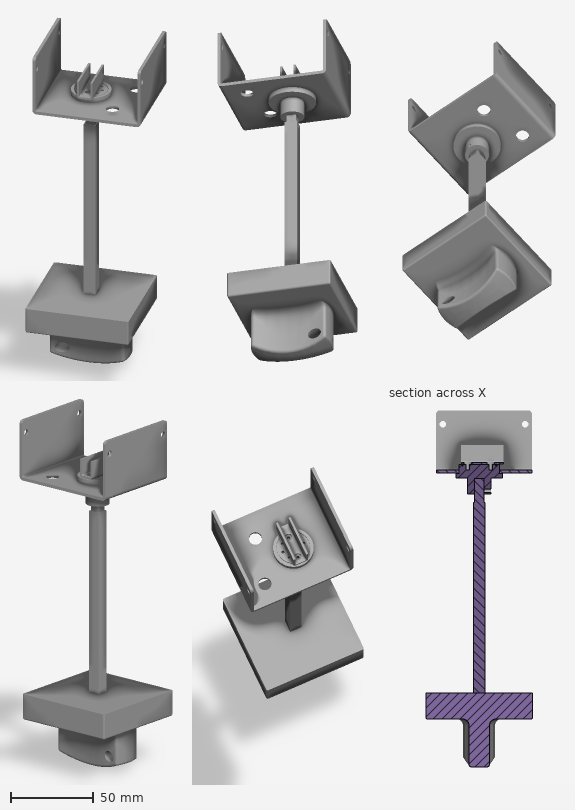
import cadquery as cq

PLATE_BOTTOM = 29.2
PLATE_TOP = 45.5
SHAFT_SHOULDER = 160.9
HUB_BOTTOM = 165.6
FLANGE_BOTTOM = 175.4
BRACKET_BOTTOM = 178.6
COLLAR_TOP = 183.8
CLIP_TOP = 195.5
BRACKET_TOP = 216.5

PLATE_SIDE = 65.0
PLATE_EDGE_RADIUS = 1.0
KNOB_RADIUS = 25.1
KNOB_RIM_HEIGHT = 5.8
WAIST_HALF_WIDTH = 6.3
GRIP_END_HALF_WIDTH = 10.2
GRIP_END_X = 23.0
GRIP_CORNER_RADIUS = 1.7
KNOB_RIM_RADIUS = 1.5
GRIP_ROOT_RADIUS = 4.0
KNOB_HOLE_X = -16.0
KNOB_HOLE_Z = 9.7
KNOB_HOLE_WIDTH = 8.7
KNOB_HOLE_HEIGHT = 6.5

SHAFT_SIDE = 7.5
NECK_SIDE = 5.8

HUB_RADIUS = 14.5 / 2
FLANGE_RADIUS = 28.8 / 2
COLLAR_RADIUS = 12.3
GROOVE_OUTER_RADIUS = 10.5
GROOVE_INNER_RADIUS = 10.0
GROOVE_DEPTH = 0.6
SCREW_CIRCLE_RADIUS = 7.0
SCREW_HOLE_COUNT = 8
SCREW_HOLE_DIAMETER = 2.0
SCREW_HOLE_DEPTH = 3.2
SET_SCREW_DIAMETER = 2.0
SET_SCREW_Z = 167.8

BRACKET_LEFT = -28.1
BRACKET_WIDTH = 68.2
BRACKET_FRONT = -32.0
BRACKET_DEPTH = 58.0
BRACKET_THICKNESS = 2.0
BRACKET_INNER_BEND = 0.6
FLANGE_CORNER_RADIUS = 2.2
MOUNT_HOLE_DIAMETER = 4.0
MOUNT_HOLE_SPACING = 50.0
MOUNT_HOLE_DROP = 8.5
BASE_HOLE_DIAMETER = 8.0
BASE_HOLE_CENTRES = [(25.0, 13.0), (18.0, -16.0)]

CLIP_WIDTH = 9.7
CLIP_FRONT = -15.0
CLIP_LENGTH = 26.0
CLIP_THICKNESS = 1.3
CLIP_INNER_BEND = 0.6
CLIP_HOLE_DIAMETER = 4.3

PICK_MARGIN = 0.2


def arc_radius(half_chord, rise):
    """Radius of the arc that rises by this much over this half chord."""
    return (half_chord**2 + rise**2) / (2 * rise)


DOME_RADIUS = arc_radius(KNOB_RADIUS, KNOB_RIM_HEIGHT)
HOLLOW_RADIUS = arc_radius(GRIP_END_X, GRIP_END_HALF_WIDTH - WAIST_HALF_WIDTH)


def cylinder(radius, bottom, top):
    """Upright cylinder on the shaft axis."""
    return cq.Workplane("XY").workplane(offset=bottom).circle(radius).extrude(top - bottom)


def square_bar(side, bottom, top):
    """Upright square bar on the shaft axis."""
    return cq.Workplane("XY").workplane(offset=bottom).rect(side, side).extrude(top - bottom)


def bent_channel(left, width, front, depth, bottom, top, thickness, inner_bend):
    """U-shaped sheet: a base with a wall bent up along each X side."""
    outer = (
        cq.Workplane("XY")
        .box(width, depth, top - bottom, centered=False)
        .edges("|Y and <Z")
        .fillet(inner_bend + thickness)
    )
    inner = (
        cq.Workplane("XY")
        .box(width - 2 * thickness, depth, top - bottom, centered=False)
        .edges("|Y and <Z")
        .fillet(inner_bend)
        .translate((thickness, 0, thickness))
    )
    return outer.cut(inner).translate((left, front, bottom))


def dished_grip():
    """Round knob with a domed bottom, pinched to a waist by a hollow on either side."""
    blank = (
        cq.Workplane("YZ")
        .moveTo(0, PLATE_BOTTOM)
        .lineTo(KNOB_RADIUS, PLATE_BOTTOM)
        .lineTo(KNOB_RADIUS, KNOB_RIM_HEIGHT)
        .radiusArc((0, 0), DOME_RADIUS)
        .close()
        .revolve(360, (0, 0), (0, 1))
    )
    for side in (-1, 1):
        hollow = cylinder(HOLLOW_RADIUS, 0, PLATE_BOTTOM)
        blank = blank.cut(hollow.translate((0, side * (WAIST_HALF_WIDTH + HOLLOW_RADIUS), 0)))
    grip = blank.edges("|Z").fillet(GRIP_CORNER_RADIUS)
    return grip.faces("<Z").edges().fillet(KNOB_RIM_RADIUS)


def make_knob():
    plate = square_bar(PLATE_SIDE, PLATE_BOTTOM, PLATE_TOP).edges("|Z or <Z").fillet(PLATE_EDGE_RADIUS)
    hollow_roots = cq.selectors.BoxSelector(
        (-2.2, -GRIP_END_HALF_WIDTH, PLATE_BOTTOM - PICK_MARGIN),
        (2.2, GRIP_END_HALF_WIDTH, PLATE_BOTTOM + PICK_MARGIN),
    )
    hole = (
        cq.Workplane("XZ")
        .center(KNOB_HOLE_X, KNOB_HOLE_Z)
        .ellipse(KNOB_HOLE_WIDTH / 2, KNOB_HOLE_HEIGHT / 2)
        .extrude(KNOB_RADIUS, both=True)
    )
    knob = plate.union(dished_grip()).edges(hollow_roots).fillet(GRIP_ROOT_RADIUS)
    limits = plate.union(cylinder(KNOB_RADIUS, 0, PLATE_BOTTOM))
    return knob.intersect(limits).cut(hole)


def make_shaft():
    shaft = square_bar(SHAFT_SIDE, PLATE_TOP, SHAFT_SHOULDER)
    return shaft.union(square_bar(NECK_SIDE, SHAFT_SHOULDER, FLANGE_BOTTOM))


def make_hub():
    hub = cylinder(HUB_RADIUS, HUB_BOTTOM, FLANGE_BOTTOM)
    hub = hub.union(cylinder(FLANGE_RADIUS, FLANGE_BOTTOM, BRACKET_BOTTOM))
    hub = hub.union(cylinder(COLLAR_RADIUS, BRACKET_BOTTOM, COLLAR_TOP))
    groove = (
        cq.Workplane("XY")
        .workplane(offset=COLLAR_TOP)
        .circle(GROOVE_OUTER_RADIUS)
        .circle(GROOVE_INNER_RADIUS)
        .extrude(-GROOVE_DEPTH)
    )
    screw_holes = (
        cq.Workplane("XY")
        .workplane(offset=COLLAR_TOP)
        .polarArray(SCREW_CIRCLE_RADIUS, 0, 360, SCREW_HOLE_COUNT)
        .circle(SCREW_HOLE_DIAMETER / 2)
        .extrude(-SCREW_HOLE_DEPTH)
    )
    set_screw_hole = (
        cq.Workplane("XZ").center(0, SET_SCREW_Z).circle(SET_SCREW_DIAMETER / 2).extrude(HUB_RADIUS)
    )
    neck_socket = square_bar(NECK_SIDE, HUB_BOTTOM, FLANGE_BOTTOM)
    return hub.cut(groove).cut(screw_holes).cut(set_screw_hole).cut(neck_socket)


def make_bracket():
    bracket = bent_channel(
        BRACKET_LEFT, BRACKET_WIDTH, BRACKET_FRONT, BRACKET_DEPTH,
        BRACKET_BOTTOM, BRACKET_TOP, BRACKET_THICKNESS, BRACKET_INNER_BEND,
    )
    wall_corners = cq.selectors.BoxSelector(
        (BRACKET_LEFT, BRACKET_FRONT - PICK_MARGIN, BRACKET_TOP - PICK_MARGIN),
        (
            BRACKET_LEFT + BRACKET_WIDTH,
            BRACKET_FRONT + BRACKET_DEPTH + PICK_MARGIN,
            BRACKET_TOP + PICK_MARGIN,
        ),
    )
    bracket = bracket.edges("|X").edges(wall_corners).fillet(FLANGE_CORNER_RADIUS)
    middle_y = BRACKET_FRONT + BRACKET_DEPTH / 2
    mount_holes = (
        cq.Workplane("YZ")
        .workplane(offset=BRACKET_LEFT)
        .center(middle_y, BRACKET_TOP - MOUNT_HOLE_DROP)
        .rarray(MOUNT_HOLE_SPACING, 2.2, 2, 1)
        .circle(MOUNT_HOLE_DIAMETER / 2)
        .extrude(BRACKET_WIDTH)
    )
    base_holes = (
        cq.Workplane("XY")
        .workplane(offset=BRACKET_BOTTOM)
        .pushPoints(BASE_HOLE_CENTRES)
        .circle(BASE_HOLE_DIAMETER / 2)
        .extrude(BRACKET_THICKNESS)
    )
    collar_hole = cylinder(COLLAR_RADIUS, BRACKET_BOTTOM, BRACKET_BOTTOM + BRACKET_THICKNESS)
    return bracket.cut(mount_holes).cut(base_holes).cut(collar_hole)


def make_clip():
    clip = bent_channel(
        -CLIP_WIDTH / 2, CLIP_WIDTH, CLIP_FRONT, CLIP_LENGTH,
        COLLAR_TOP, CLIP_TOP, CLIP_THICKNESS, CLIP_INNER_BEND,
    )
    screw_holes = (
        cq.Workplane("XY")
        .workplane(offset=COLLAR_TOP)
        .rarray(2.2, 2 * SCREW_CIRCLE_RADIUS, 1, 2)
        .circle(CLIP_HOLE_DIAMETER / 2)
        .extrude(CLIP_THICKNESS)
    )
    return clip.cut(screw_holes)


knob = make_knob()
shaft = make_shaft()
hub = make_hub()
bracket = make_bracket()
clip = make_clip()

result = cq.Compound.makeCompound(
    [knob.val(), shaft.val(), hub.val(), bracket.val(), clip.val()]
)